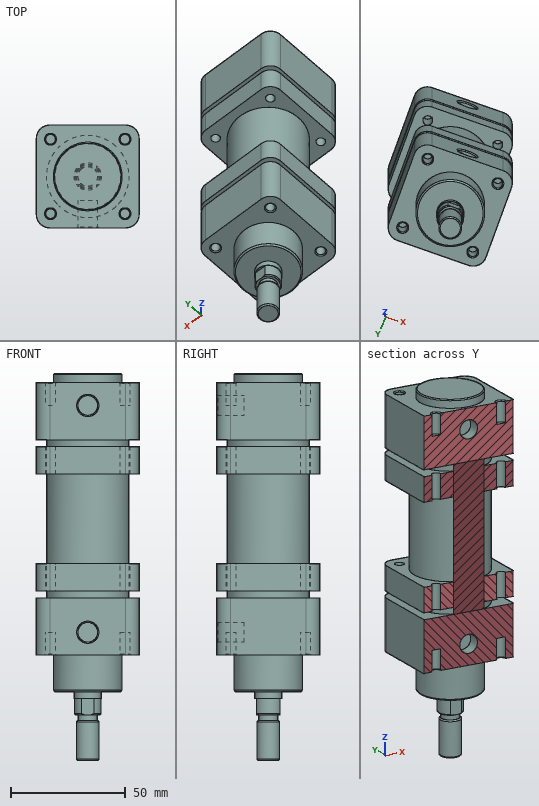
import cadquery as cq


side = 45.0
corner_radius = 6.0
screw_spacing = 32.5
screw_hole_dia = 4.2

cap_height = 25.0
boss_dia = 30.0
top_boss_height = 4.0
top_boss_chamfer = 0.5
nose_height = 16.0
nose_chamfer = 0.7
screw_hole_depth = 10.0
screw_countersink_dia = 5.2

port_dia = 8.6
port_countersink_dia = 9.7
port_depth = 12.0
port_offset = 10.0

barrel_dia = 36.0
barrel_length = 69.0
flange_height = 12.0
flange_gap = 3.0

collar_dia = 12.0
collar_length = 3.0
wrench_dia = 11.7
wrench_length = 7.0
wrench_flats = 10.3
wrench_chamfer = 0.5
relief_dia = 8.5
relief_length = 2.5
thread_dia = 10.0
thread_length = 17.5
thread_chamfer = 0.6

upper_cap_bottom = cap_height + barrel_length
upper_cap_top = upper_cap_bottom + cap_height
nose_end = -nose_height
flange_bottoms = (
    cap_height + flange_gap,
    upper_cap_bottom - flange_gap - flange_height,
)


def square_block(bottom, height):
    """Square block with rounded vertical edges."""
    block = cq.Workplane("XY").workplane(offset=bottom).rect(side, side).extrude(height)
    return block.edges("|Z").fillet(corner_radius)


def cylinder(dia, bottom, height):
    return cq.Workplane("XY").workplane(offset=bottom).circle(dia / 2).extrude(height)


def countersunk_hole(start, direction, dia, countersink_dia, depth):
    """Cutter for a blind hole with a 45 degree countersink at its mouth."""
    countersink_depth = (countersink_dia - dia) / 2
    mouth = cq.Solid.makeCone(countersink_dia / 2, dia / 2, countersink_depth, start, direction)
    shaft = cq.Solid.makeCylinder(dia / 2, depth, start, direction)
    return cq.Workplane(shaft.fuse(mouth))


def screw_positions():
    half = screw_spacing / 2
    return [(x, y) for x in (-half, half) for y in (-half, half)]


def drill_cap(cap, outer_face, inward):
    """Cut the four screw holes and the air port; inward is +1 for up and -1 for down."""
    for x, y in screw_positions():
        start = cq.Vector(x, y, outer_face)
        cap = cap.cut(countersunk_hole(
            start, cq.Vector(0, 0, inward), screw_hole_dia, screw_countersink_dia, screw_hole_depth))
    port_start = cq.Vector(0, -side / 2, outer_face + inward * port_offset)
    return cap.cut(countersunk_hole(
        port_start, cq.Vector(0, 1, 0), port_dia, port_countersink_dia, port_depth))


def make_upper_cap():
    boss = cylinder(boss_dia, upper_cap_top, top_boss_height).faces(">Z").chamfer(top_boss_chamfer)
    cap = square_block(upper_cap_bottom, cap_height).union(boss)
    return drill_cap(cap, upper_cap_top, -1)


def make_lower_cap():
    nose = cylinder(boss_dia, nose_end, nose_height).faces("<Z").chamfer(nose_chamfer)
    cap = square_block(0, cap_height).union(nose)
    return drill_cap(cap, 0, 1)


def make_barrel():
    return cylinder(barrel_dia, cap_height, barrel_length)


def make_flange(bottom):
    """Square flange that fits around the barrel, with four screw holes through it."""
    flange = square_block(bottom, flange_height).cut(cylinder(barrel_dia, bottom, flange_height))
    holes = (
        cq.Workplane("XY").workplane(offset=bottom)
        .pushPoints(screw_positions()).circle(screw_hole_dia / 2).extrude(flange_height)
    )
    return flange.cut(holes)


def make_rod():
    """Collar, wrench section with two flats facing +Y and -Y, relief groove and threaded end."""
    wrench_top = nose_end - collar_length
    wrench_bottom = wrench_top - wrench_length
    thread_top = wrench_bottom - relief_length
    thread_bottom = thread_top - thread_length

    wrench = cylinder(wrench_dia, wrench_bottom, wrench_length).faces("<Z").chamfer(wrench_chamfer)
    flats = (
        cq.Workplane("XY").workplane(offset=wrench_bottom)
        .rect(wrench_dia, wrench_flats).extrude(wrench_length)
    )
    thread = cylinder(thread_dia, thread_bottom, thread_length).faces("<Z or >Z").chamfer(thread_chamfer)
    return (
        cylinder(collar_dia, wrench_top, collar_length)
        .union(wrench.intersect(flats))
        .union(cylinder(relief_dia, thread_top, relief_length))
        .union(thread)
    )


upper_cap = make_upper_cap()
lower_cap = make_lower_cap()
barrel = make_barrel()
flanges = [make_flange(bottom) for bottom in flange_bottoms]
rod = make_rod()

result = cq.Compound.makeCompound([
    upper_cap.val(),
    lower_cap.val(),
    barrel.val(),
    *[flange.val() for flange in flanges],
    rod.val(),
])